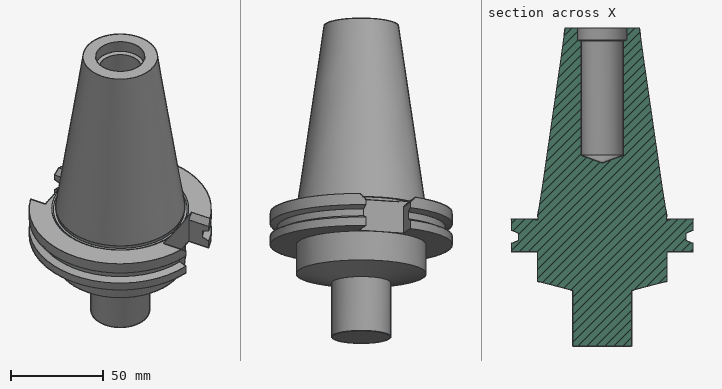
import cadquery as cq
import math

total_length = 171.6

shank_diameter = 32.0
shank_chamfer = 0.3
nose_diameter = 70.0
nose_cone_start = 30.0
nose_cone_end = 35.0

flange_diameter = 98.2
flange_bottom = 51.0
flange_top = 68.6
groove_floor_diameter = 90.6
groove_outer_bottom = 55.6
groove_outer_top = 62.5
groove_flank_height = 1.5

relief_mouth_diameter = 73.8
relief_floor_diameter = 72.0
relief_depth = 0.5

taper_ratio = 7 / 24
gauge_diameter = 69.8
gauge_height = 70.0
neck_diameter = 69.3
neck_chamfer = 0.25

counterbore_diameter = 26.5
counterbore_depth = 6.5
bore_diameter = 22.5
bore_depth = 68.6
cone_angle = 140.0

slot_width = 25.2
slot_floor_distances = {-1: 37.4, 1: 35.2}
slot_chamfer = 3.1


def taper_radius(z):
    """Taper radius at height z."""
    return (gauge_diameter - taper_ratio * (z - gauge_height)) / 2


def make_body():
    """Solid of revolution from the shank at the bottom to the small end of the taper."""
    shank_radius = shank_diameter / 2
    nose_radius = nose_diameter / 2
    flange_radius = flange_diameter / 2
    groove_radius = groove_floor_diameter / 2
    neck_radius = neck_diameter / 2
    relief_floor = flange_top - relief_depth
    outline = [
        (0, 0),
        (shank_radius - shank_chamfer, 0),
        (shank_radius, shank_chamfer),
        (shank_radius, nose_cone_start),
        (nose_radius, nose_cone_end),
        (nose_radius, flange_bottom),
        (flange_radius, flange_bottom),
        (flange_radius, groove_outer_bottom),
        (groove_radius, groove_outer_bottom + groove_flank_height),
        (groove_radius, groove_outer_top - groove_flank_height),
        (flange_radius, groove_outer_top),
        (flange_radius, flange_top),
        (relief_mouth_diameter / 2, flange_top),
        (relief_floor_diameter / 2, relief_floor),
        (neck_radius, relief_floor),
        (neck_radius, gauge_height - neck_chamfer),
        (taper_radius(gauge_height), gauge_height),
        (taper_radius(total_length), total_length),
        (0, total_length),
    ]
    return cq.Workplane("XZ").polyline(outline).close().revolve(360, (0, 0), (0, 1))


def make_bore():
    """Counterbored blind hole with a drill point, as a solid to cut away."""
    bore_radius = bore_diameter / 2
    counterbore_radius = counterbore_diameter / 2
    seat_top = total_length - counterbore_depth
    bore_end = total_length - bore_depth
    cone_slope = 1 / math.tan(math.radians(cone_angle / 2))
    seat_height = (counterbore_radius - bore_radius) * cone_slope
    point_height = bore_radius * cone_slope
    outline = [
        (0, total_length),
        (counterbore_radius, total_length),
        (counterbore_radius, seat_top),
        (bore_radius, seat_top - seat_height),
        (bore_radius, bore_end),
        (0, bore_end - point_height),
    ]
    return cq.Workplane("XZ").polyline(outline).close().revolve(360, (0, 0), (0, 1))


def make_drive_slot(side):
    """Slot through the flange rim with chamfered top edges; side is +1 or -1 along X."""
    half_width = slot_width / 2
    mouth_half_width = half_width + slot_chamfer
    outline = [
        (-half_width, flange_bottom),
        (half_width, flange_bottom),
        (half_width, flange_top - slot_chamfer),
        (mouth_half_width, flange_top),
        (-mouth_half_width, flange_top),
        (-half_width, flange_top - slot_chamfer),
    ]
    plane = cq.Workplane("YZ", origin=(side * slot_floor_distances[side], 0, 0))
    return plane.polyline(outline).close().extrude(side * flange_diameter / 2)


result = make_body().cut(make_bore())
for side in slot_floor_distances:
    result = result.cut(make_drive_slot(side))